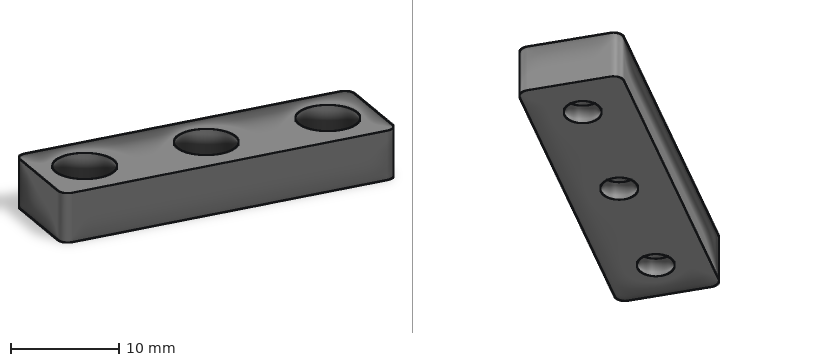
import cadquery as cq

width = 10.0
length = 34.4
thickness = 5.0
corner_radius = 1.0

hole_count = 3
hole_pitch = 12.5
hole_diameter = 3.5
counterbore_diameter = 6.0
counterbore_depth = 3.0


def make_bar():
    """Flat bar standing on Z = 0 with rounded vertical edges."""
    bar = cq.Workplane("XY").box(width, length, thickness, centered=(True, True, False))
    return bar.edges("|Z").fillet(corner_radius)


def cut_screw_holes(bar):
    """Through holes with counterbores sunk from the top face."""
    return (
        bar.faces(">Z")
        .workplane(origin=(0, 0, thickness))
        .rarray(1, hole_pitch, 1, hole_count)
        .cboreHole(hole_diameter, counterbore_diameter, counterbore_depth)
    )


result = cut_screw_holes(make_bar())